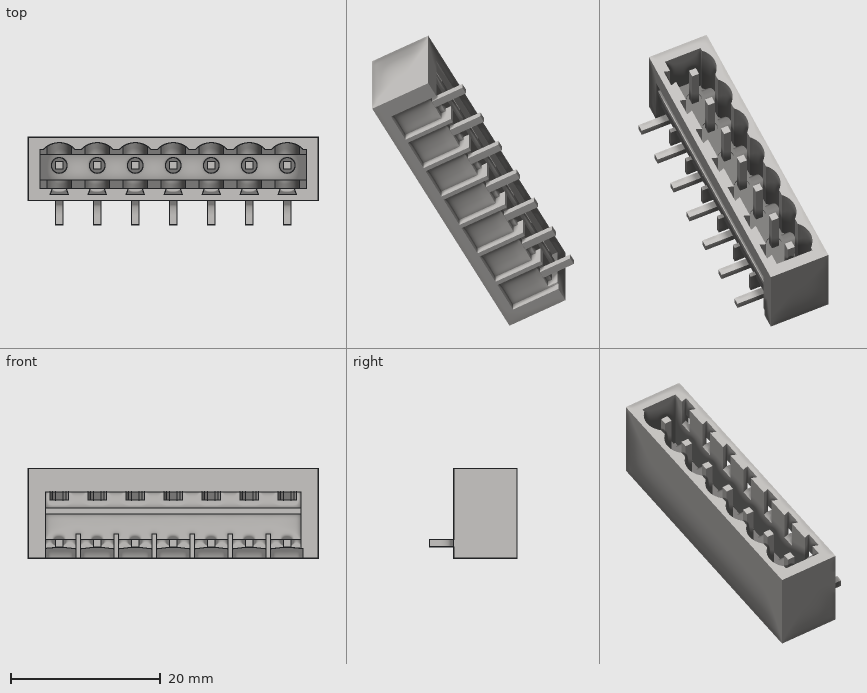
import cadquery as cq
import math

LENGTH = 38.75
DEPTH = 8.5
HEIGHT = 12.0
FRONT = -DEPTH / 2
BACK = DEPTH / 2

PIN_COUNT = 7
PITCH = 5.08
PIN_WIDTH = 1.0
PIN_TAIL = 3.2
PIN_BOTTOM = 1.55
PIN_TOP = 11.05
PIN_Y = 0.45
PIN_POSITIONS = [(i - (PIN_COUNT - 1) / 2) * PITCH for i in range(PIN_COUNT)]

END_WALL = 1.6
SIDE_WALL = 1.63
CAVITY_HALF_LENGTH = LENGTH / 2 - END_WALL
CAVITY_FRONT = FRONT + SIDE_WALL
CAVITY_BACK = BACK - SIDE_WALL
CAVITY_FLOOR = 2.85
SCALLOP_HALF_WIDTH = 2.1
SCALLOP_DEPTH = 0.9

PLATFORM_FRONT = FRONT + 2.8
PLATFORM_BACK = BACK - 2.33
PLATFORM_TOP = 4.5
HUMP_HALF_WIDTH = 1.65
HUMP_CROWN_HALF_WIDTH = 1.25
HUMP_CROWN_RADIUS = 1.47
HUMP_FLANK_ANGLE = 57.0
HUMP_FOOT = 0.2
PIN_RECESS_DIAMETER = 2.1
PIN_RECESS_DEPTH = 0.2

RECESS_HALF_LENGTH = 17.1
RECESS_DEPTH = 0.8
RECESS_TOP = 8.88
RIDGE_BOTTOM = 5.93
RIDGE_TOP = 6.75
RIDGE_PROJECTION = 0.55
UNDERCUT_DEPTH = 1.4
UNDERCUT_TOP = PIN_BOTTOM + PIN_WIDTH

KEYWAY_MOUTH = 1.85
KEYWAY_BASE = 2.45
KEYWAY_DEPTH = SIDE_WALL - RECESS_DEPTH
KEYWAY_BOTTOM = 7.8

RIB_WIDTH = 0.6
RIB_TOP = 3.25
ARCH_HALF_WIDTH = (PITCH - RIB_WIDTH) / 2
ARCH_CROWN = 1.47
ARCH_SPRING = 1.28
LAST_POCKET_EXTENSION = 0.27


def block(x_range, y_range, z_range):
    """Box between two limits along each axis."""
    (x0, x1), (y0, y1), (z0, z1) = x_range, y_range, z_range
    return cq.Workplane("XY").box(x1 - x0, y1 - y0, z1 - z0, centered=False).translate((x0, y0, z0))


def make_cavity():
    """Cavity prism: a rectangle whose back edge bulges into one arc per pin."""
    outline = (
        cq.Workplane("XY", origin=(0, 0, CAVITY_FLOOR))
        .moveTo(CAVITY_HALF_LENGTH, CAVITY_FRONT)
        .lineTo(-CAVITY_HALF_LENGTH, CAVITY_FRONT)
        .lineTo(-CAVITY_HALF_LENGTH, CAVITY_BACK)
    )
    for x in PIN_POSITIONS:
        outline = outline.lineTo(x - SCALLOP_HALF_WIDTH, CAVITY_BACK).threePointArc(
            (x, CAVITY_BACK + SCALLOP_DEPTH), (x + SCALLOP_HALF_WIDTH, CAVITY_BACK)
        )
    return outline.lineTo(CAVITY_HALF_LENGTH, CAVITY_BACK).close().extrude(HEIGHT - CAVITY_FLOOR)


def make_hump(x):
    """Round-crowned hump with straight flanks on a low foot, running along Y over one pin tail."""
    flank_width = HUMP_HALF_WIDTH - HUMP_CROWN_HALF_WIDTH
    foot = CAVITY_FLOOR + HUMP_FOOT
    shoulder = foot + flank_width * math.tan(math.radians(HUMP_FLANK_ANGLE))
    crown_rise = HUMP_CROWN_RADIUS - math.sqrt(HUMP_CROWN_RADIUS**2 - HUMP_CROWN_HALF_WIDTH**2)
    return (
        cq.Workplane("XZ", origin=(x, BACK, 0))
        .moveTo(-HUMP_HALF_WIDTH, CAVITY_FLOOR)
        .lineTo(-HUMP_HALF_WIDTH, foot)
        .lineTo(-HUMP_CROWN_HALF_WIDTH, shoulder)
        .threePointArc((0, shoulder + crown_rise), (HUMP_CROWN_HALF_WIDTH, shoulder))
        .lineTo(HUMP_HALF_WIDTH, foot)
        .lineTo(HUMP_HALF_WIDTH, CAVITY_FLOOR)
        .close()
        .extrude(DEPTH)
    )


def make_pin_recess(x):
    """Shallow round recess in the platform around one pin."""
    return (
        cq.Workplane("XY", origin=(x, PIN_Y, PLATFORM_TOP - PIN_RECESS_DEPTH))
        .circle(PIN_RECESS_DIAMETER / 2)
        .extrude(PIN_RECESS_DEPTH)
    )


def make_keyway(x):
    """Dovetail slot cut into the front wall from inside the cavity."""
    base_y = CAVITY_FRONT - KEYWAY_DEPTH
    return (
        cq.Workplane("XY", origin=(x, 0, KEYWAY_BOTTOM))
        .moveTo(-KEYWAY_MOUTH / 2, CAVITY_FRONT)
        .lineTo(-KEYWAY_BASE / 2, base_y)
        .lineTo(KEYWAY_BASE / 2, base_y)
        .lineTo(KEYWAY_MOUTH / 2, CAVITY_FRONT)
        .close()
        .extrude(HEIGHT - KEYWAY_BOTTOM)
    )


def make_arch_pocket(x):
    """Arched pocket under one pin, running from the front face to the back wall."""
    pocket = (
        cq.Workplane("XZ", origin=(x, CAVITY_BACK, 0))
        .moveTo(-ARCH_HALF_WIDTH, 0)
        .lineTo(-ARCH_HALF_WIDTH, ARCH_SPRING)
        .threePointArc((0, ARCH_CROWN), (ARCH_HALF_WIDTH, ARCH_SPRING))
        .lineTo(ARCH_HALF_WIDTH, 0)
        .close()
        .extrude(CAVITY_BACK - FRONT)
    )
    row_limits = block(
        (-RECESS_HALF_LENGTH, RECESS_HALF_LENGTH + LAST_POCKET_EXTENSION),
        (FRONT, CAVITY_BACK),
        (0, ARCH_CROWN),
    )
    return pocket.intersect(row_limits)


def make_rib(x):
    """Upright rib between two pin tails, flush with the front face."""
    return block((x - RIB_WIDTH / 2, x + RIB_WIDTH / 2), (FRONT, FRONT + UNDERCUT_DEPTH), (0, RIB_TOP))


def make_pin(x):
    """Bent square pin: a horizontal tail to the front and an upright contact."""
    half = PIN_WIDTH / 2
    x_range = (x - half, x + half)
    tail = block(x_range, (FRONT - PIN_TAIL, PIN_Y + half), (PIN_BOTTOM, PIN_BOTTOM + PIN_WIDTH))
    contact = block(x_range, (PIN_Y - half, PIN_Y + half), (PIN_BOTTOM, PIN_TOP))
    return tail.union(contact)


def make_housing(pins):
    """Housing with its cavity, front recess, ribs and pin passages."""
    housing = block((-LENGTH / 2, LENGTH / 2), (FRONT, BACK), (0, HEIGHT))

    cavity = make_cavity()
    platform = block(
        (-CAVITY_HALF_LENGTH, CAVITY_HALF_LENGTH),
        (PLATFORM_FRONT, PLATFORM_BACK),
        (CAVITY_FLOOR, PLATFORM_TOP),
    )
    for x in PIN_POSITIONS:
        platform = platform.cut(make_pin_recess(x))
    cavity_void = cavity.cut(platform)
    for x in PIN_POSITIONS:
        hump = make_hump(x)
        recess = make_pin_recess(x)
        cavity_void = cavity_void.cut(hump.cut(recess))
    housing = housing.cut(cavity_void)

    recess_length = (-RECESS_HALF_LENGTH, RECESS_HALF_LENGTH)
    face = FRONT + RECESS_DEPTH
    housing = housing.cut(block(recess_length, (FRONT, face), (0, RECESS_TOP)))
    housing = housing.cut(block(recess_length, (FRONT, FRONT + UNDERCUT_DEPTH), (0, UNDERCUT_TOP)))
    ridge = block(recess_length, (face - RIDGE_PROJECTION, face), (RIDGE_BOTTOM, RIDGE_TOP))
    housing = housing.union(ridge)

    for x in PIN_POSITIONS:
        housing = housing.cut(make_keyway(x)).cut(make_arch_pocket(x))
    for x in PIN_POSITIONS[:-1]:
        housing = housing.union(make_rib(x + PITCH / 2))

    for pin in pins:
        housing = housing.cut(pin)
    return housing


pins = [make_pin(x) for x in PIN_POSITIONS]
housing = make_housing(pins)

result = cq.Compound.makeCompound([housing.val(), *[pin.val() for pin in pins]])